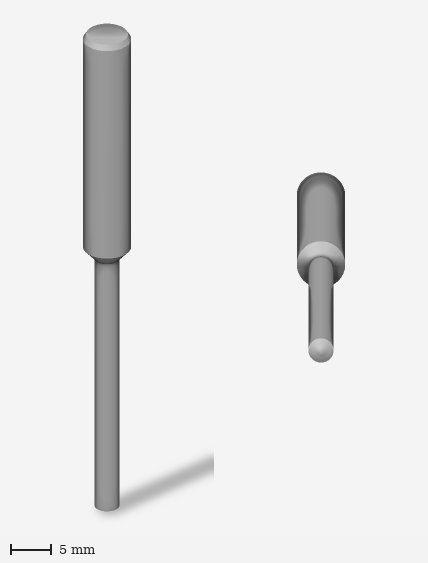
import cadquery as cq
import math

total_length = 68.0
shank_radius = 3.0
drill_radius = 1.55

shank_length = 31.95
end_chamfer_height = 0.7
end_chamfer_width = 0.4
neck_height = 1.6
point_angle = 130.0

top_z = total_length / 2
tip_z = -total_length / 2
point_height = drill_radius / math.tan(math.radians(point_angle / 2))
shank_bottom_z = top_z - shank_length
neck_top_z = shank_bottom_z + neck_height


def revolve_profile(points):
    """Revolve a closed (radius, z) outline about the Z axis."""
    return cq.Workplane("XZ").polyline(points).close().revolve(360, (0, 0), (0, 1))


def make_shank():
    """Cylindrical shank with a chamfered top end and a conical neck."""
    return revolve_profile([
        (0, shank_bottom_z),
        (drill_radius, shank_bottom_z),
        (shank_radius, neck_top_z),
        (shank_radius, top_z - end_chamfer_height),
        (shank_radius - end_chamfer_width, top_z),
        (0, top_z),
    ])


def make_drill():
    """Slender drill body with a conical point, meeting the neck face to face."""
    return revolve_profile([
        (0, tip_z),
        (drill_radius, tip_z + point_height),
        (drill_radius, shank_bottom_z),
        (0, shank_bottom_z),
    ])


shank = make_shank()
drill = make_drill()

result = cq.Compound.makeCompound([shank.val(), drill.val()])